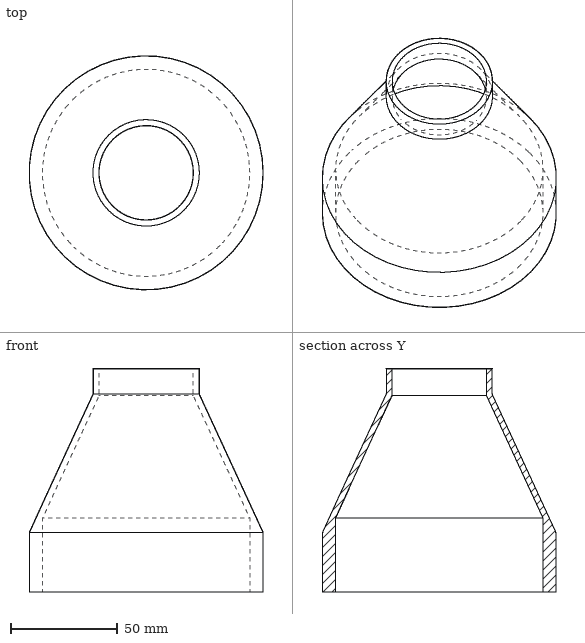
import cadquery as cq
import math

large_diameter = 110.0
small_diameter = 50.0
large_wall = 6.3
small_wall = 2.9

total_height = 105.0
large_spigot_length = 28.0
small_spigot_length = 12.0

large_radius = large_diameter / 2
small_radius = small_diameter / 2
cone_bottom = large_spigot_length
cone_top = total_height - small_spigot_length

cone_angle = math.atan2(large_radius - small_radius, cone_top - cone_bottom)
large_bore_radius = large_radius - large_wall
small_bore_radius = small_radius - small_wall
bore_cone_top = cone_top - small_wall * math.tan(cone_angle / 2)
bore_cone_height = (large_bore_radius - small_bore_radius) / math.tan(cone_angle)
bore_cone_bottom = bore_cone_top - bore_cone_height


def stepped_cone(lower_radius, upper_radius, lower_end, upper_end):
    """Full-height solid about Z: a cylinder, a cone between the two ends, a cylinder."""
    half_profile = [
        (0, 0),
        (lower_radius, 0),
        (lower_radius, lower_end),
        (upper_radius, upper_end),
        (upper_radius, total_height),
        (0, total_height),
    ]
    return (
        cq.Workplane("XZ")
        .polyline(half_profile)
        .close()
        .revolve(360, (0, 0), (0, 1))
    )


body = stepped_cone(large_radius, small_radius, cone_bottom, cone_top)
bore = stepped_cone(large_bore_radius, small_bore_radius, bore_cone_bottom, bore_cone_top)

result = body.cut(bore)